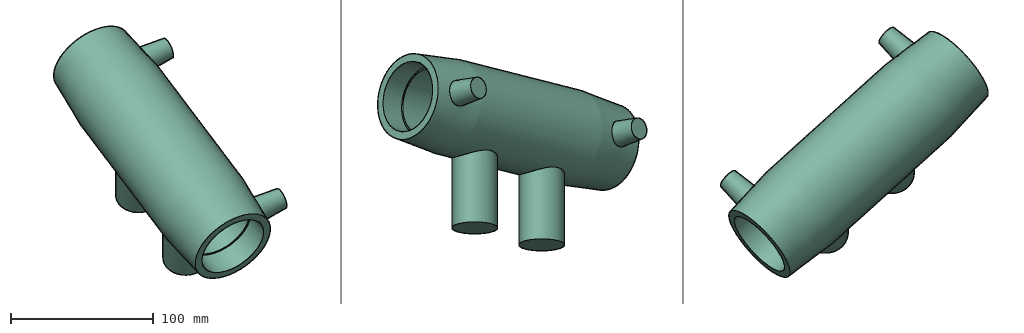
import cadquery as cq

length = 195.0
body_diameter = 68.0
end_diameter = 61.2
taper_length = 39.0

socket_diameter = 50.0
passage_diameter = 47.5
socket_depth = 18.0

branch_diameter = 32.0
branch_spacing = 65.0
branch_bottom_z = -83.0

post_tip_diameter = 15.2
post_base_diameter = 19.0
post_tip_y = 51.0
post_base_y = 28.0
post_end_inset = 19.5

half_length = length / 2
body_radius = body_diameter / 2
end_radius = end_diameter / 2
taper_start_x = half_length - taper_length
post_x = half_length - post_end_inset
branch_x = branch_spacing / 2


def make_sleeve():
    """Solid of revolution about X, tapering at both ends."""
    return (
        cq.Workplane("XY")
        .moveTo(-half_length, 0)
        .lineTo(-half_length, end_radius)
        .lineTo(-taper_start_x, body_radius)
        .lineTo(taper_start_x, body_radius)
        .lineTo(half_length, end_radius)
        .lineTo(half_length, 0)
        .close()
        .revolve(360, (0, 0, 0), (1, 0, 0))
    )


def make_branch(x):
    """Round branch from the sleeve axis down to the branch end."""
    return cq.Workplane("XY").center(x, 0).circle(branch_diameter / 2).extrude(branch_bottom_z)


def make_post(x):
    """Cone frustum along +Y, rooted inside the sleeve wall."""
    return cq.Workplane(
        cq.Solid.makeCone(
            post_base_diameter / 2,
            post_tip_diameter / 2,
            post_tip_y - post_base_y,
            pnt=cq.Vector(x, post_base_y, 0),
            dir=cq.Vector(0, 1, 0),
        )
    )


def cylinder_along_x(diameter, start_x, end_x):
    return cq.Workplane("YZ", origin=(start_x, 0, 0)).circle(diameter / 2).extrude(end_x - start_x)


result = make_sleeve()
for side in (-1, 1):
    result = result.union(make_branch(side * branch_x))
    result = result.union(make_post(side * post_x))

result = result.cut(cylinder_along_x(passage_diameter, -half_length, half_length))
for side in (-1, 1):
    socket_end_x = side * (half_length - socket_depth)
    result = result.cut(cylinder_along_x(socket_diameter, side * half_length, socket_end_x))